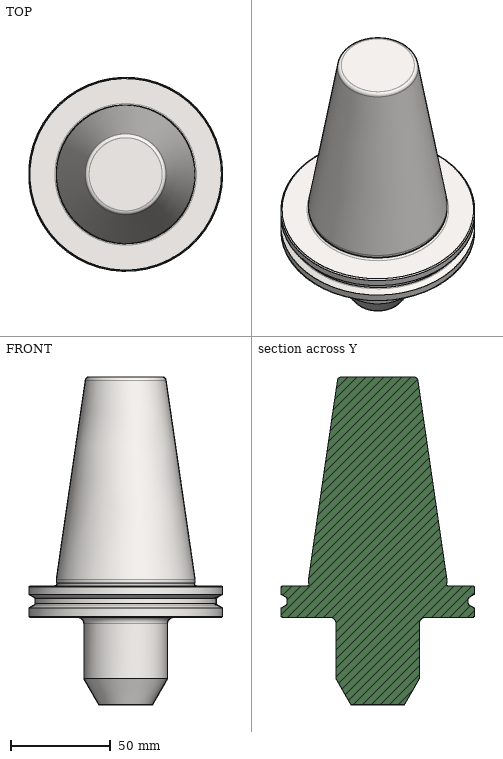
import cadquery as cq
import math

total_height = 164.6
gauge_z = 62.9
collar_relief_z = 61.0
flange_top_z = 59.7
flange_bottom_z = 43.8

taper_ratio = 7 / 24
gauge_radius = 34.9
small_end_radius = gauge_radius - (total_height - gauge_z) * taper_ratio / 2
small_end_fillet = 2.0
collar_relief = 0.3
collar_root_fillet = 1.0

flange_radius = 48.7
flange_chamfer = 0.7
groove_depth = 3.1
groove_center_z = 52.0
groove_floor_width = 3.3
groove_corner_fillet = 0.7
groove_wall_angle = 30
groove_wall_height = groove_depth * math.tan(math.radians(groove_wall_angle))
groove_floor_radius = flange_radius - groove_depth

nose_radius = 21.0
tip_radius = 13.5
tip_angle = 30
tip_height = (nose_radius - tip_radius) / math.tan(math.radians(tip_angle))
root_fillet = 3.0


def revolve_profile(points):
    """Revolve a closed outline of (radius, height) points about Z."""
    return cq.Workplane("XZ").polyline(points).close().revolve(360, (0, 0, 0), (0, 1, 0))


def make_root_fillet(radius, face_z, size, direction):
    """Ring filling the corner between a shaft and a flange face, on the given Z side of the face."""
    inset = size * (1 - math.sqrt(0.5))
    return (
        cq.Workplane("XZ")
        .moveTo(radius, face_z)
        .lineTo(radius, face_z + direction * size)
        .threePointArc((radius + inset, face_z + direction * inset), (radius + size, face_z))
        .close()
        .revolve(360, (0, 0, 0), (0, 1, 0))
    )


def make_taper():
    taper = revolve_profile([
        (0, flange_top_z),
        (gauge_radius - collar_relief, flange_top_z),
        (gauge_radius - collar_relief, collar_relief_z),
        (gauge_radius, collar_relief_z),
        (gauge_radius, gauge_z),
        (small_end_radius, total_height),
        (0, total_height),
    ])
    root = make_root_fillet(gauge_radius - collar_relief, flange_top_z, collar_root_fillet, 1)
    return taper.faces(">Z").edges().fillet(small_end_fillet).union(root)


def make_flange():
    flange = (
        cq.Workplane("XY", origin=(0, 0, flange_bottom_z))
        .circle(flange_radius)
        .extrude(flange_top_z - flange_bottom_z)
        .edges()
        .chamfer(flange_chamfer)
    )
    half_floor = groove_floor_width / 2
    half_mouth = half_floor + groove_wall_height
    groove = revolve_profile([
        (flange_radius, groove_center_z - half_mouth),
        (groove_floor_radius, groove_center_z - half_floor),
        (groove_floor_radius, groove_center_z + half_floor),
        (flange_radius, groove_center_z + half_mouth),
    ])
    groove = groove.edges(cq.selectors.RadiusNthSelector(0)).fillet(groove_corner_fillet)
    return flange.cut(groove)


def make_nose():
    nose = revolve_profile([
        (0, 0),
        (tip_radius, 0),
        (nose_radius, tip_height),
        (nose_radius, flange_bottom_z),
        (0, flange_bottom_z),
    ])
    return nose.union(make_root_fillet(nose_radius, flange_bottom_z, root_fillet, -1))


result = make_flange().union(make_taper()).union(make_nose())